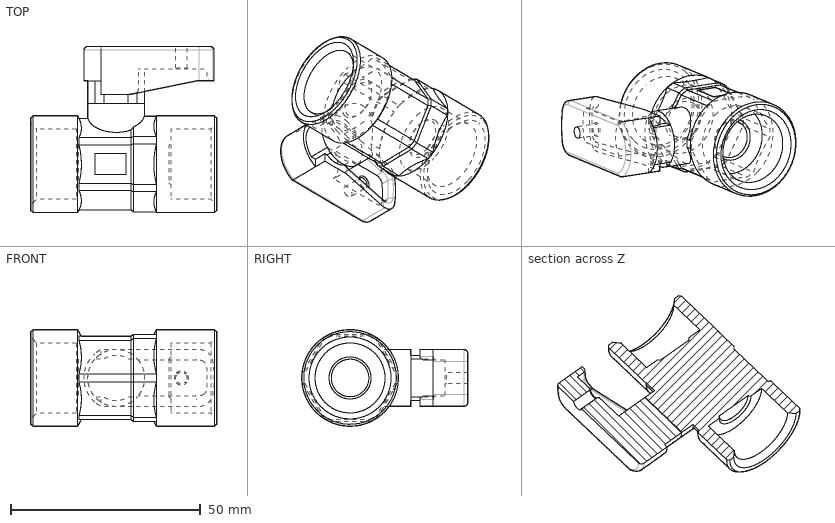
import cadquery as cq
import math


body_length = 49.0
collar_radius = 12.75
left_collar_length = 12.35
right_collar_length = 15.85
collar_chamfer_length = 0.65
collar_chamfer_depth = 0.55
shoulder_angle = 30.0
shoulder_tip_radius = 10.0

small_hex_flats = 22.0
large_hex_flats = 22.95
hex_corner_cut = 1.25
hex_step_start = 26.4
hex_step_length = 0.7

bore_radius = 9.22
bore_depth = 12.0
bore_mouth_radius = 10.8
bore_mouth_length = bore_mouth_radius - bore_radius
seat_radius = 5.54
seat_floor_radius = 4.95
seat_depth = seat_radius - seat_floor_radius

stem_x = 22.5
neck_radius = 7.5
neck_top = 16.0

panel_length = 8.1
panel_width = 5.5
panel_x = 21.0
panel_depth = 0.1

handle_top = 31.0
handle_half_width = 7.5
handle_rear_radius = 8.5
handle_rear_x = math.sqrt(handle_rear_radius ** 2 - handle_half_width ** 2)
handle_tip_radius = 25.83
handle_corner_radius = 3.75
handle_rim = 21.9
lip_bottom = 18.4
lip_slope_start_x = 26.5
lip_slope_end_x = 43.7
handle_edge_fillet = 1.0

cavity_half_width = 4.7
cavity_tip_radius = 24.0
cavity_tip_corner_radius = 2.0
cavity_floor = 25.0
cavity_rear_x = 25.5
cavity_rear_corner_radius = 2.0
cavity_rim_round = 0.95

post_radius = 5.97
wing_half_width = 5.05

cord_hole_x = 39.65
cord_hole_radius = 1.5
cord_hole_chamfer = 0.35

pick_margin = 0.1


def revolve_about_bore(profile):
    """Turn (x, radius) points about the bore axis."""
    return cq.Workplane("XY").polyline(profile).close().revolve(360, (0, 0, 0), (1, 0, 0))


def collar(outer_x, inward, length):
    """Pipe end with a chamfered rim and a cone running down onto the hexagon."""
    shoulder_length = (collar_radius - shoulder_tip_radius) * math.tan(math.radians(shoulder_angle))
    profile = [
        (0, 0),
        (0, collar_radius - collar_chamfer_depth),
        (collar_chamfer_length, collar_radius),
        (length, collar_radius),
        (length + shoulder_length, shoulder_tip_radius),
        (length + shoulder_length, 0),
    ]
    return revolve_about_bore([(outer_x + inward * x, r) for x, r in profile])


def bore(outer_x, inward):
    """Blind bore with a flared mouth and a shallow conical seat in its floor."""
    profile = [
        (0, 0),
        (0, bore_mouth_radius),
        (bore_mouth_length, bore_radius),
        (bore_depth, bore_radius),
        (bore_depth, seat_radius),
        (bore_depth + seat_depth, seat_floor_radius),
        (bore_depth + seat_depth, 0),
    ]
    return revolve_about_bore([(outer_x + inward * x, r) for x, r in profile])


def hex_points(across_flats):
    """(y, z) points of a hexagon with flats facing +Z and -Z and with its corners cut."""
    corner_radius = across_flats / math.sqrt(3)
    corners = []
    for i in range(6):
        angle = math.radians(60 * i)
        corners.append(cq.Vector(corner_radius * math.cos(angle), corner_radius * math.sin(angle)))
    points = []
    for i, corner in enumerate(corners):
        for neighbour in (corners[i - 1], corners[(i + 1) % 6]):
            point = corner + (neighbour - corner).normalized() * hex_corner_cut
            points.append((point.x, point.y))
    return points


def hex_prism(across_flats, start_x, end_x):
    """Bevelled hexagonal bar between two x values."""
    section = cq.Workplane("YZ", origin=(start_x, 0, 0)).polyline(hex_points(across_flats)).close()
    return section.extrude(end_x - start_x)


def hexagon():
    """Small hexagon, bevelled step, large hexagon."""
    step_end = hex_step_start + hex_step_length
    small = hex_prism(small_hex_flats, left_collar_length, hex_step_start)
    large = hex_prism(large_hex_flats, step_end, body_length - right_collar_length)
    step = (
        cq.Workplane("YZ", origin=(hex_step_start, 0, 0))
        .polyline(hex_points(small_hex_flats))
        .close()
        .workplane(offset=hex_step_length)
        .polyline(hex_points(large_hex_flats))
        .close()
        .loft(ruled=True)
    )
    return small.union(step).union(large)


def along_stem(y):
    """Sketch plane square to the stem at height y, with its origin on the stem axis.

    Sketch axes are X and Z; a negative extrusion goes toward +Y.
    """
    return cq.Workplane("XZ", origin=(stem_x, y, 0))


def make_body():
    """Pipe body with two collars, a hexagonal middle and a neck for the handle."""
    neck = along_stem(0).circle(neck_radius).extrude(-neck_top)
    panel_floor = small_hex_flats / 2 - panel_depth
    panel = (
        cq.Workplane("XY", origin=(panel_x, 0, panel_floor))
        .rect(panel_length, panel_width)
        .extrude(2 * panel_depth)
    )
    return (
        hexagon()
        .union(collar(0, 1, left_collar_length))
        .union(collar(body_length, -1, right_collar_length))
        .union(neck)
        .cut(bore(0, 1))
        .cut(bore(body_length, -1))
        .cut(panel)
    )


def tip_shape(workplane, half_width, tip_radius, corner_radius, rear_x):
    """Draw from (rear_x, half_width) round the tip to (rear_x, -half_width).

    The tip is an arc about the stem axis, joined to both sides by tangent corner arcs.
    """
    corner_z = half_width - corner_radius
    corner_x = math.sqrt((tip_radius - corner_radius) ** 2 - corner_z ** 2)
    tip_angle = math.atan2(corner_z, corner_x)
    join_x = tip_radius * math.cos(tip_angle)
    join_z = tip_radius * math.sin(tip_angle)
    middle_angle = (tip_angle + math.pi / 2) / 2
    middle_x = corner_x + corner_radius * math.cos(middle_angle)
    middle_z = corner_z + corner_radius * math.sin(middle_angle)
    return (
        workplane.moveTo(rear_x, half_width)
        .lineTo(corner_x, half_width)
        .threePointArc((middle_x, middle_z), (join_x, join_z))
        .threePointArc((tip_radius, 0), (join_x, -join_z))
        .threePointArc((middle_x, -middle_z), (corner_x, -half_width))
        .lineTo(rear_x, -half_width)
    )


def handle_block():
    """Outer shape of the handle, before its underside is trimmed."""
    outline = tip_shape(
        along_stem(neck_top), handle_half_width, handle_tip_radius, handle_corner_radius, -handle_rear_x
    )
    block = outline.threePointArc((-handle_rear_radius, 0), (-handle_rear_x, handle_half_width)).close()
    return block.extrude(neck_top - handle_top).faces(">Y").edges().fillet(handle_edge_fillet)


def cavity():
    """Hollow between the post and the tip, with rounded vertical corners."""
    outline = tip_shape(
        along_stem(neck_top),
        cavity_half_width,
        cavity_tip_radius,
        cavity_tip_corner_radius,
        cavity_rear_x - stem_x,
    )
    hollow = outline.close().extrude(neck_top - cavity_floor)
    return hollow.edges("|Y and <X").fillet(cavity_rear_corner_radius)


def post():
    """Round post with two stop wings, standing on the neck."""
    length = neck_top - cavity_floor
    core = along_stem(neck_top).circle(post_radius).extrude(length)
    wings = along_stem(neck_top).circle(neck_radius).extrude(length)
    slab = along_stem(neck_top).rect(2 * neck_radius, 2 * wing_half_width).extrude(length)
    return core.union(wings.intersect(slab))


def cord_hole():
    """Through hole in the roof of the cavity, chamfered where it enters the cavity."""
    mouth_radius = cord_hole_radius + cord_hole_chamfer
    profile = [
        (0, cavity_floor),
        (mouth_radius, cavity_floor),
        (cord_hole_radius, cavity_floor + cord_hole_chamfer),
        (cord_hole_radius, handle_top),
        (0, handle_top),
    ]
    hole = cq.Workplane("XY").polyline(profile).close().revolve(360, (0, 0, 0), (0, 1, 0))
    return hole.translate((cord_hole_x, 0, 0))


def rim_slice(start_x, start_y, end_x, end_y):
    """Slice of the hollow handle between two x values.

    Its underside is the plane through (start_x, start_y) and (end_x, end_y), and the inner
    edge of the rim is rounded where the cavity opens through that plane.
    """
    slope = (end_y - start_y) / (end_x - start_x)
    left_y = start_y - slope * start_x
    right_y = left_y + slope * body_length
    above_rim = (
        cq.Workplane("XY")
        .polyline([(0, left_y), (body_length, right_y), (body_length, handle_top), (0, handle_top)])
        .close()
        .extrude(handle_half_width, both=True)
    )
    shell = handle_block().intersect(above_rim).cut(cavity())
    inner_rim = cq.selectors.BoxSelector(
        (cavity_rear_x - pick_margin, neck_top, -cavity_half_width - pick_margin),
        (
            stem_x + cavity_tip_radius + pick_margin,
            cavity_floor - pick_margin,
            cavity_half_width + pick_margin,
        ),
    )
    shell = shell.edges(inner_rim).edges("not |Y").fillet(cavity_rim_round)
    window = (
        cq.Workplane("XZ")
        .center((start_x + end_x) / 2, 0)
        .rect(end_x - start_x, 2 * handle_half_width)
        .extrude(-handle_top)
    )
    return shell.intersect(window)


def make_handle():
    """Hollow lever: rear end, level lips, sloping lips and tip, joined to the post."""
    handle_end_x = stem_x + handle_tip_radius
    lip_rear_x = stem_x - handle_rear_x
    rear = rim_slice(stem_x - handle_rear_radius, handle_rim, lip_rear_x, handle_rim)
    lips = rim_slice(lip_rear_x, lip_bottom, lip_slope_start_x, lip_bottom)
    slope = rim_slice(lip_slope_start_x, lip_bottom, lip_slope_end_x, handle_rim)
    tip = rim_slice(lip_slope_end_x, handle_rim, handle_end_x, handle_rim)
    return rear.union(lips).union(slope).union(tip).union(post()).cut(cord_hole())


body = make_body()
handle = make_handle()
result = cq.Compound.makeCompound([body.solids().val(), handle.solids().val()])